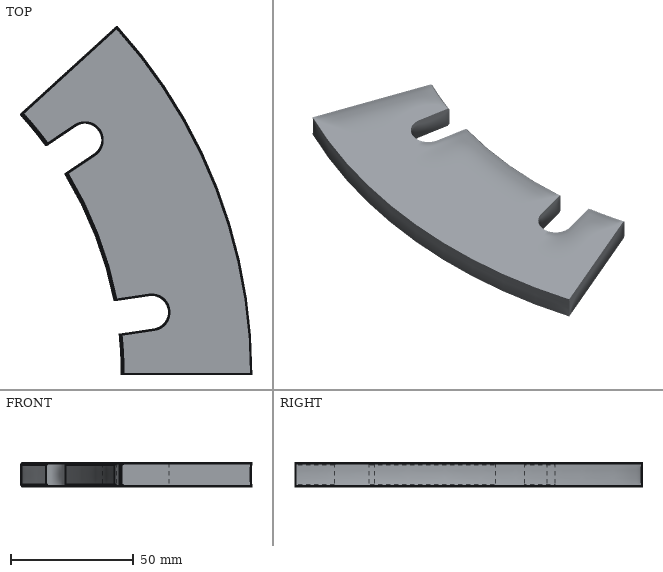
import cadquery as cq

sector_angle = 42.38
outer_radius = 210.86
inner_radius = 157.75
thickness = 9.49
inner_chamfer = 0.75
rim_hollow_depth = 0.28

slot_width = 14.3
slot_centre_radius = 171.9
end_to_slot_angle = sector_angle / 5
slot_angles = [end_to_slot_angle, sector_angle - end_to_slot_angle]


def ring_sector():
    """Revolve the plate cross-section, drawn in the XZ plane, starting at +X and turning towards +Y."""
    half = thickness / 2
    chamfer_top = half - inner_chamfer
    face_inner_radius = inner_radius + inner_chamfer
    profile = (
        cq.Workplane("XZ")
        .moveTo(face_inner_radius, -half)
        .lineTo(outer_radius, -half)
        .threePointArc((outer_radius - rim_hollow_depth, 0), (outer_radius, half))
        .lineTo(face_inner_radius, half)
        .lineTo(inner_radius, chamfer_top)
        .lineTo(inner_radius, -chamfer_top)
        .close()
    )
    return profile.revolve(sector_angle, (0, 0, 0), (0, 1, 0))


def slot_cutter(angle):
    """Radial slot, open at the inner edge and rounded at its outer end."""
    slot_radius = slot_width / 2
    start_radius = inner_radius - slot_width
    return (
        cq.Workplane("XY")
        .moveTo(start_radius, -slot_radius)
        .lineTo(slot_centre_radius, -slot_radius)
        .threePointArc((slot_centre_radius + slot_radius, 0), (slot_centre_radius, slot_radius))
        .lineTo(start_radius, slot_radius)
        .close()
        .extrude(thickness, both=True)
        .rotate((0, 0, 0), (0, 0, 1), angle)
    )


plate = ring_sector()
for slot_angle in slot_angles:
    plate = plate.cut(slot_cutter(slot_angle))

result = plate.solids()